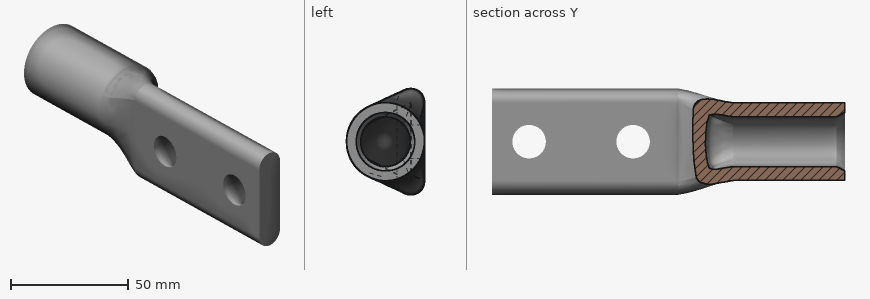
import cadquery as cq
import math

length = 150.88
barrel_diameter = 33.4
tongue_width = 45.47

barrel_radius = barrel_diameter / 2
barrel_length = 47.8

bore_radius = 21.2 / 2
mouth_radius = 25.0 / 2
mouth_depth = 3.6
slit_thickness = 0.3

tongue_start = 71.4
tongue_thickness = 11.9
tongue_center_y = (tongue_thickness - barrel_diameter) / 2

hole_diameter = 14.3
hole_spacing = 44.45
end_hole_margin = 15.875
end_hole_x = length - end_hole_margin
hole_positions = (end_hole_x - hole_spacing, end_hole_x)

outer_directions = (150, 90, 12, -12, -45, -85, -126, -162)
bore_directions = (135, 90, 45, 0, -45, -90, -135, -180)

transition_stations = (0, 0.08, 0.25, 0.5, 0.75, 0.92, 1)
end_flattening = 0.5


def eased(fraction):
    """Blend ratio that levels out toward both ends of the transition."""
    s_curve = fraction**2 * (3 - 2 * fraction)
    return fraction + end_flattening * (s_curve - fraction)


def mixed(start, end, ratio):
    return start + (end - start) * ratio


def circle_points(radius, directions):
    angles = [math.radians(direction) for direction in directions]
    return [(radius * math.cos(angle), radius * math.sin(angle)) for angle in angles]


def slot_points(width, thickness):
    """Corners and middles of a rounded slot centred on the tongue."""
    half = thickness / 2
    flat = width / 2 - half
    front = tongue_center_y - half
    back = tongue_center_y + half
    return [
        (front, flat),
        (tongue_center_y, flat + half),
        (back, flat),
        (back, 0),
        (back, -flat),
        (tongue_center_y, -flat - half),
        (front, -flat),
        (front, 0),
    ]


def section_wire(x, outline, flat_sides):
    """Closed outline at station x: edge arc, back side, edge arc, front side."""
    points = [cq.Vector(x, y, z) for y, z in outline]
    edges = []
    for start in range(0, len(points), 2):
        corner = points[start]
        middle = points[start + 1]
        next_corner = points[(start + 2) % len(points)]
        is_side = start % 4 == 2
        if is_side and flat_sides:
            edges.append(cq.Edge.makeLine(corner, next_corner))
        else:
            edges.append(cq.Edge.makeThreePointArc(corner, middle, next_corner))
    return cq.Wire.assembleEdges(edges)


def round_to_slot(radius, directions, width, thickness):
    """Smooth blend from a circle at the barrel end to a slot at the tongue start."""
    round_end = circle_points(radius, directions)
    slot_end = slot_points(width, thickness)
    sections = []
    for station in transition_stations:
        ratio = eased(station)
        outline = [
            (mixed(y0, y1, ratio), mixed(z0, z1, ratio))
            for (y0, z0), (y1, z1) in zip(round_end, slot_end)
        ]
        x = mixed(barrel_length, tongue_start, station)
        sections.append(section_wire(x, outline, station == 1))
    return cq.Workplane(cq.Solid.makeLoft(sections))


def make_barrel():
    return cq.Workplane("YZ").circle(barrel_radius).extrude(barrel_length)


def make_tongue():
    return (
        cq.Workplane("YZ", origin=(tongue_start, tongue_center_y, 0))
        .slot2D(tongue_width, tongue_thickness, 90)
        .extrude(length - tongue_start)
    )


def make_bore():
    bore = cq.Workplane("YZ").circle(bore_radius).extrude(barrel_length)
    mouth = cq.Workplane("YZ").circle(mouth_radius).workplane(offset=mouth_depth).circle(bore_radius).loft()
    slit_width = tongue_width - tongue_thickness
    flattened_end = round_to_slot(bore_radius, bore_directions, slit_width, slit_thickness)
    return bore.union(mouth).union(flattened_end)


def make_bolt_holes():
    return (
        cq.Workplane("XZ", origin=(0, barrel_radius, 0))
        .pushPoints([(x, 0) for x in hole_positions])
        .circle(hole_diameter / 2)
        .extrude(barrel_diameter)
    )


transition = round_to_slot(barrel_radius, outer_directions, tongue_width, tongue_thickness)
body = make_barrel().union(transition).union(make_tongue())
result = body.cut(make_bore()).cut(make_bolt_holes())